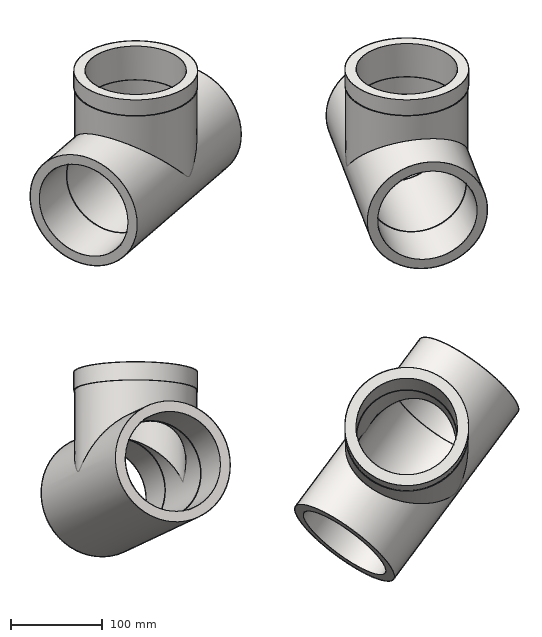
import cadquery as cq

run_length = 234.0
run_diameter = 133.4
branch_diameter = 133.1
collar_diameter = 135.0
collar_height = 20.1
bore_diameter = 109.3
socket_diameter = 110.2
run_socket_depth = 60.8
branch_socket_depth = 41.7
overall_height = 184.5

branch_top = overall_height - run_diameter / 2


def run_cylinder(diameter, length, start):
    """Cylinder along +Y, beginning at y = start."""
    return cq.Workplane("XZ", origin=(0, start, 0)).circle(diameter / 2).extrude(-length)


def branch_cylinder(diameter, length):
    """Vertical cylinder reaching down from the branch mouth."""
    return cq.Workplane("XY").workplane(offset=branch_top).circle(diameter / 2).extrude(-length)


body = run_cylinder(run_diameter, run_length, -run_length / 2)
body = body.union(branch_cylinder(branch_diameter, branch_top))
body = body.union(branch_cylinder(collar_diameter, collar_height))

body = body.cut(run_cylinder(bore_diameter, run_length, -run_length / 2))
body = body.cut(branch_cylinder(bore_diameter, branch_top))

for socket_start in (-run_length / 2, run_length / 2 - run_socket_depth):
    body = body.cut(run_cylinder(socket_diameter, run_socket_depth, socket_start))
body = body.cut(branch_cylinder(socket_diameter, branch_socket_depth))

result = body